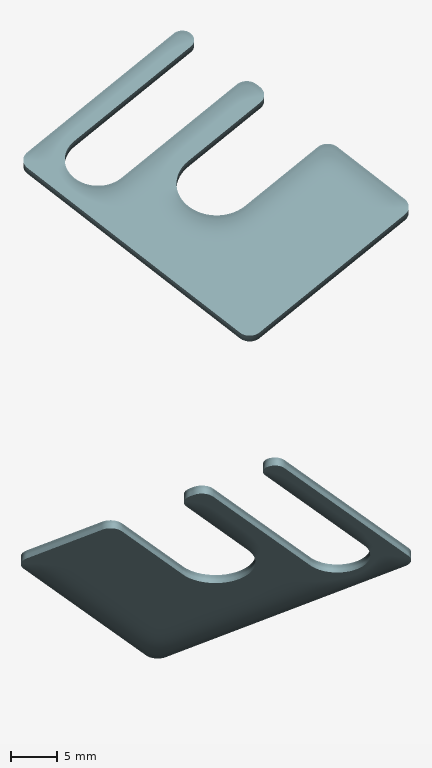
import cadquery as cq

length = 35.05
width = 25.4
thickness = 1.0
corner_radius = 1.5

outer_finger_width = 2.55
narrow_slot_width = 7.15
inner_finger_width = 3.55
wide_slot_width = 8.65

narrow_slot_floor = 2.55
wide_slot_floor = 8.4

narrow_slot_left = outer_finger_width
inner_finger_left = narrow_slot_left + narrow_slot_width
wide_slot_left = inner_finger_left + inner_finger_width
block_left = wide_slot_left + wide_slot_width


def open_slot(left, slot_width, floor):
    """Slot open at the back edge, with a full round at its front end."""
    radius = slot_width / 2
    return (
        cq.Workplane("XY")
        .moveTo(left, width)
        .lineTo(left, floor + radius)
        .threePointArc((left + radius, floor), (left + slot_width, floor + radius))
        .lineTo(left + slot_width, width)
        .close()
        .extrude(thickness)
    )


def round_corners(body, corners, radius):
    """Fillet the upright edges standing at the given corner points."""
    half_height = thickness / 2
    edges = cq.Workplane("XY")
    for x, y in corners:
        edge = body.edges(cq.selectors.NearestToPointSelector((x, y, half_height)))
        edges = edges.add(edge)
    return body.newObject([body.val().fillet(radius, edges.vals())])


plate = cq.Workplane("XY").box(length, width, thickness, centered=False)
plate = plate.cut(open_slot(narrow_slot_left, narrow_slot_width, narrow_slot_floor))
plate = plate.cut(open_slot(wide_slot_left, wide_slot_width, wide_slot_floor))

plate = round_corners(
    plate,
    [
        (0, 0),
        (length, 0),
        (length, width),
        (inner_finger_left, width),
        (wide_slot_left, width),
        (block_left, width),
    ],
    corner_radius,
)

tip_radius = outer_finger_width / 2
tip_square = (
    cq.Workplane("XY")
    .rect(outer_finger_width, tip_radius, centered=False)
    .extrude(thickness)
    .translate((0, width - tip_radius, 0))
)
tip_round = (
    cq.Workplane("XY")
    .center(tip_radius, width - tip_radius)
    .circle(tip_radius)
    .extrude(thickness)
)
result = plate.cut(tip_square.cut(tip_round))